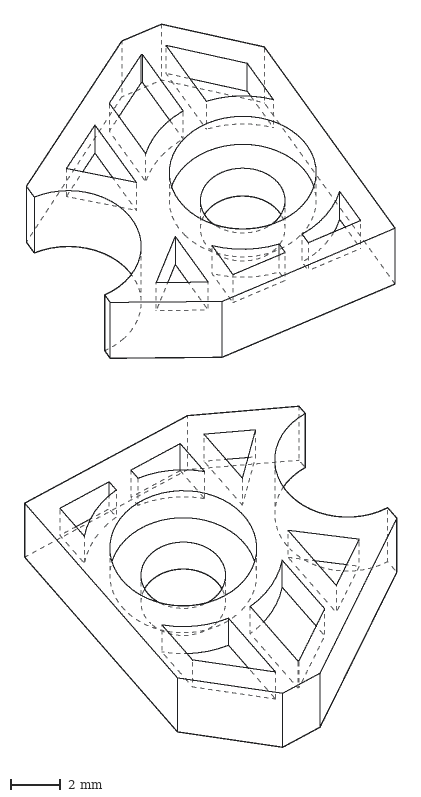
import cadquery as cq
import math

thickness = 3.5
length_x = 13.9
length_y = 11.9
right_x = 5.51
top_y = 3.95
left_x = right_x - length_x
bottom_y = top_y - length_y

left_edge_half = 0.91
corner_chamfer = top_y - left_edge_half
left_foot_x = -3.58
right_foot_x = 3.38

hole_diameter = 3.4
counterbore_diameter = 5.9
saddle_diameter = 5.85
saddle_center_y = -8.0

recess_depth = thickness / 2
outer_wall = 1.02
rib_width = 1.06
ring_wall = 1.07
saddle_wall = 1.01
saddle_guard_angle = 46.5
ring_radius = counterbore_diameter / 2 + ring_wall
lower_rib_top_y = -2.93
lower_rib_bottom_y = lower_rib_top_y - rib_width
lower_rib_center_y = lower_rib_top_y - rib_width / 2


def outline():
    """Closed plate outline, before the saddle is cut."""
    return cq.Workplane("XY").polyline([
        (left_x, left_edge_half),
        (left_x + corner_chamfer, top_y),
        (right_x, top_y),
        (right_x, lower_rib_bottom_y),
        (right_foot_x, bottom_y),
        (left_foot_x, bottom_y),
        (left_x, -left_edge_half),
    ]).close()


def cylinder(radius, center_y):
    """Full-height cylinder with its axis at X = 0."""
    return cq.Workplane("XY").center(0, center_y).circle(radius).extrude(thickness)


def rib(center_y):
    """Bar along X that overruns the plate at both ends."""
    return cq.Workplane("XY").center(0, center_y).rect(2 * length_x, rib_width).extrude(thickness)


def saddle_guard():
    """Triangular block over the saddle, its sloped sides one wall away from the saddle."""
    slope = math.radians(saddle_guard_angle)
    apex_height = (saddle_diameter / 2 + saddle_wall) / math.cos(slope)
    half_base = apex_height / math.tan(slope)
    triangle = cq.Workplane("XY").center(0, saddle_center_y).polyline([
        (-half_base, 0),
        (half_base, 0),
        (0, apex_height),
    ]).close()
    return triangle.extrude(thickness)


def pockets():
    """Solids of the six pockets: the inset outline less the ring, ribs and saddle guard."""
    space = outline().offset2D(-outer_wall, "intersection").extrude(thickness)
    space = space.cut(cylinder(ring_radius, 0))
    space = space.cut(rib(0))
    space = space.cut(rib(lower_rib_center_y))
    space = space.cut(saddle_guard())
    return space.translate((0, 0, thickness - recess_depth))


def plate():
    """Plate with the saddle, the screw hole and its counterbore."""
    body = outline().extrude(thickness)
    body = body.cut(cylinder(saddle_diameter / 2, saddle_center_y))
    top_face = body.faces(">Z").workplane(origin=(0, 0, thickness))
    return top_face.cboreHole(hole_diameter, counterbore_diameter, recess_depth)


result = plate().cut(pockets())